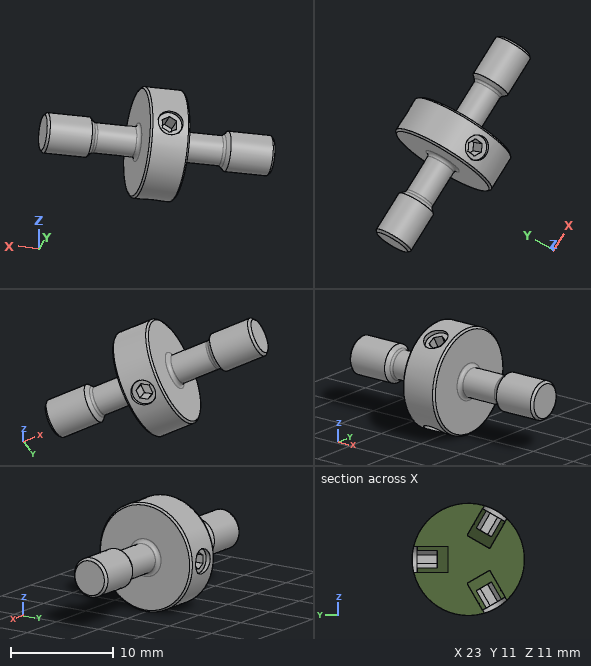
import cadquery as cq
import math

overall_length = 23.0
disc_diameter = 11.0
disc_width = 4.0
neck_diameter = 3.0
journal_diameter = 4.0
journal_length = 4.5
disc_chamfer = 0.2
tip_chamfer = 0.25
root_fillet = 0.4

screw_count = 3
first_screw_angle = 0.0
screw_diameter = 2.5
screw_length = 3.0
screw_recess = 0.5
socket_across_flats = 1.45
socket_depth = 1.95

disc_radius = disc_diameter / 2
screw_outer_radius = disc_radius - screw_recess
screw_inner_radius = screw_outer_radius - screw_length


def make_disc():
    """Plain disc centred on the origin, with both rims chamfered."""
    disc = cq.Workplane("YZ").circle(disc_radius).extrude(disc_width / 2, both=True)
    return disc.edges("%CIRCLE").chamfer(disc_chamfer)


def make_shaft_end():
    """Shaft on the +X side: root fillet, neck, shoulder and journal, rooted at the disc centre."""
    half_length = overall_length / 2
    half_disc = disc_width / 2
    neck_radius = neck_diameter / 2
    journal_radius = journal_diameter / 2
    shoulder_start = half_length - journal_length

    neck_end = shoulder_start - (journal_radius - neck_radius)
    tangent_length = root_fillet * math.tan(math.radians(45 / 2))
    diagonal = math.sqrt(0.5)
    shoulder_fillet_start = (neck_end - tangent_length, neck_radius)
    shoulder_fillet_end = (
        neck_end + tangent_length * diagonal,
        neck_radius + tangent_length * diagonal,
    )

    profile = (
        cq.Workplane("XZ")
        .moveTo(0, 0)
        .lineTo(0, neck_radius + root_fillet)
        .lineTo(half_disc, neck_radius + root_fillet)
        .radiusArc((half_disc + root_fillet, neck_radius), -root_fillet)
        .lineTo(*shoulder_fillet_start)
        .radiusArc(shoulder_fillet_end, -root_fillet)
        .lineTo(shoulder_start, journal_radius)
        .lineTo(half_length - tip_chamfer, journal_radius)
        .lineTo(half_length, journal_radius - tip_chamfer)
        .lineTo(half_length, 0)
        .close()
    )
    return profile.revolve(360, (0, 0, 0), (1, 0, 0))


def radial_plane(angle, radius):
    """Plane facing outward at the given radius, with its local X along the spindle axis."""
    outward = cq.Vector(0, math.cos(math.radians(angle)), math.sin(math.radians(angle)))
    return cq.Plane(origin=outward * radius, xDir=(1, 0, 0), normal=outward)


def make_screw_hole(angle):
    """Flat-bottomed radial hole, cut out past the disc rim."""
    hole_length = disc_diameter - screw_inner_radius
    hole_plane = radial_plane(angle, screw_inner_radius)
    return cq.Workplane(hole_plane).circle(screw_diameter / 2).extrude(hole_length)


def make_spindle(screw_angles):
    """Disc and shaft in one piece, with a radial hole for each set screw."""
    shaft_end = make_shaft_end()
    spindle = make_disc().union(shaft_end).union(shaft_end.mirror("YZ"))
    for angle in screw_angles:
        spindle = spindle.cut(make_screw_hole(angle))
    return spindle


def make_set_screw(angle):
    """Headless screw with a hexagon socket whose flats face along the spindle axis."""
    body_plane = radial_plane(angle, screw_inner_radius)
    body = cq.Workplane(body_plane).circle(screw_diameter / 2).extrude(screw_length)
    across_corners = socket_across_flats / math.cos(math.radians(30))
    socket_plane = radial_plane(angle, screw_outer_radius).rotated((0, 0, 90))
    socket = cq.Workplane(socket_plane).polygon(6, across_corners).extrude(-socket_depth)
    return body.cut(socket)


screw_angles = [first_screw_angle + 360 / screw_count * i for i in range(screw_count)]
spindle = make_spindle(screw_angles)
set_screws = [make_set_screw(angle) for angle in screw_angles]

result = cq.Compound.makeCompound([spindle.val(), *[screw.val() for screw in set_screws]])